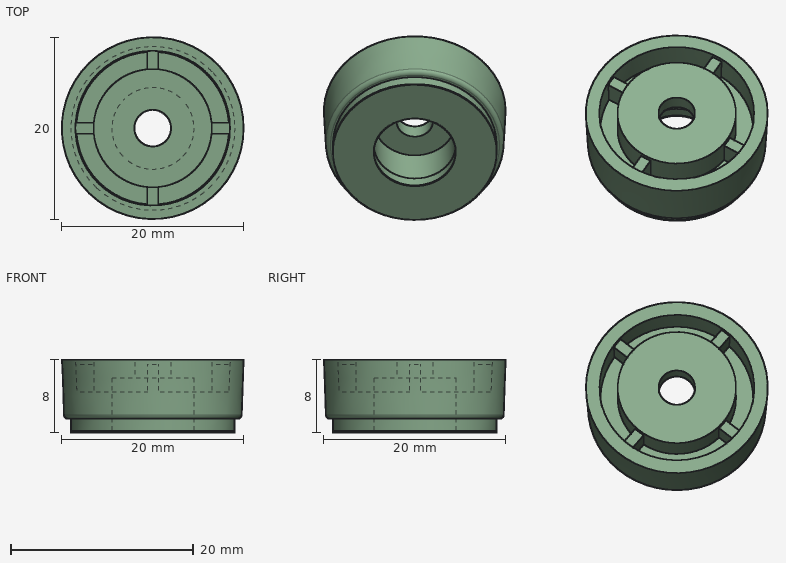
import cadquery as cq

total_height = 8.0
disc_thickness = 0.18
housing_base = 1.5

top_radius = 10.0
draft_angle = 2.0
bottom_edge_radius = 0.5

groove_outer_radius = 8.5
hub_radius = 6.5
groove_depth = 3.5

rib_count = 4
rib_width = 1.2
rib_top_drop = 0.5

hole_radius = 2.0
hole_depth = 2.0
counterbore_radius = 4.5

foot_radius = 9.0


def cone(top_z, height, radius_at_top):
    """Solid of revolution that narrows downward by the draft angle."""
    return (
        cq.Workplane("XY")
        .workplane(offset=top_z)
        .circle(radius_at_top)
        .extrude(-height, taper=draft_angle)
    )


def cylinder(base_z, height, radius):
    return cq.Workplane("XY").workplane(offset=base_z).circle(radius).extrude(height)


def make_groove():
    """Ring-shaped cutter with a drafted outer wall, interrupted by the ribs."""
    floor_z = total_height - groove_depth
    groove = cone(total_height, groove_depth, groove_outer_radius)
    groove = groove.cut(cylinder(floor_z, groove_depth, hub_radius))
    rib_height = groove_depth - rib_top_drop
    for index in range(rib_count):
        rib = (
            cq.Workplane("XY")
            .box(top_radius, rib_width, rib_height, centered=(False, True, False))
            .translate((0, 0, floor_z))
            .rotate((0, 0, 0), (0, 0, 1), index * 360 / rib_count)
        )
        groove = groove.cut(rib)
    return groove


def make_housing():
    """Drafted cup with a central hub, ribs and a counterbored screw hole."""
    height = total_height - housing_base
    shoulder_z = total_height - hole_depth
    housing = cone(total_height, height, top_radius)
    housing = housing.faces("<Z").edges().fillet(bottom_edge_radius)
    housing = housing.cut(make_groove())
    housing = housing.cut(cylinder(shoulder_z, hole_depth, hole_radius))
    return housing.cut(cylinder(housing_base, shoulder_z - housing_base, counterbore_radius))


def make_foot_ring(base_z, height):
    """Flat ring that continues the counterbore."""
    return (
        cq.Workplane("XY")
        .workplane(offset=base_z)
        .circle(foot_radius)
        .circle(counterbore_radius)
        .extrude(height)
    )


housing = make_housing()
foot_pad = make_foot_ring(disc_thickness, housing_base - disc_thickness)
wear_disc = make_foot_ring(0, disc_thickness)

result = cq.Compound.makeCompound([housing.val(), foot_pad.val(), wear_disc.val()])